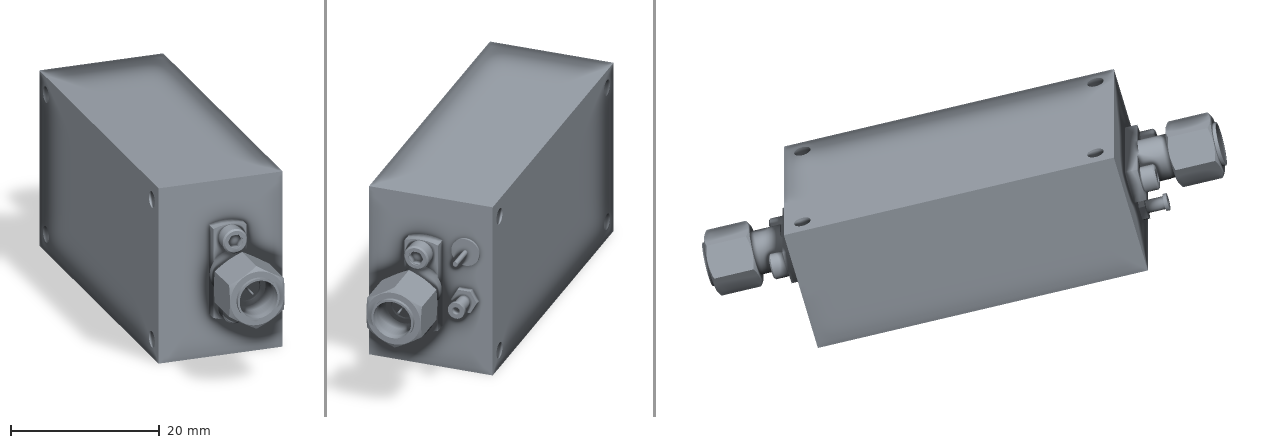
import cadquery as cq
import math

OVERALL_LENGTH = 71.5
HOUSING_LENGTH = 45.95
HOUSING_DEPTH = 17.8
HOUSING_HEIGHT = 25.4
MOUNT_HOLE_DIAMETER = 2.3
MOUNT_HOLE_INSET = 2.6

CONNECTOR_Y = 0.7
CONNECTOR_REACH = (OVERALL_LENGTH - HOUSING_LENGTH) / 2
FLANGE_THICKNESS = 1.7
FLANGE_WIDTH = 4.8
FLANGE_ROUND_DIAMETER = 13.7
BARREL_DIAMETER = 6.0
FOOT_LENGTH = 0.2
NUT_START = 6.0
NUT_END = 12.3
NUT_ACROSS_FLATS = 7.85
NUT_FACE_DIAMETER = 7.7
NUT_CHAMFER_ANGLE = 30.0
BORE_DIAMETER = 5.4
BORE_DEPTH = 4.65
RECESS_DIAMETER = 3.9
RECESS_DEPTH = 0.35
CONTACT_DIAMETER = 0.3

SCREW_SPACING = 10.15
SCREW_HEAD_DIAMETER = 3.5
SCREW_HEAD_HEIGHT = 2.15
SCREW_HEAD_CHAMFER = 0.2
SCREW_KEY_ACROSS_FLATS = 1.8
SCREW_MOUTH_DEPTH = 0.15
SCREW_KEY_DEPTH = 1.1

TERMINAL_Y = -5.1
PIN_Z = 5.35
PIN_DIAMETER = 0.7
PIN_LENGTH = 4.15
PIN_DISC_DIAMETER = 4.0
PIN_DISC_THICKNESS = 0.35
GROUND_Z = -1.8
GROUND_LENGTH = 3.85
GROUND_NUT_ACROSS_FLATS = 3.2
GROUND_NUT_THICKNESS = 0.85
GROUND_POST_DIAMETER = 1.8
GROUND_HEAD_DIAMETER = 2.35
GROUND_HEAD_THICKNESS = 0.5
GROUND_HOLE_DIAMETER = 1.1
GROUND_HOLE_DEPTH = 1.0


def end_plane(side, distance, y=0.0, z=0.0):
    """Plane facing outward, a given distance outside the +X (side 1) or -X (side -1) end face."""
    x = side * (HOUSING_LENGTH / 2 + distance)
    return cq.Plane(origin=(x, y, z), xDir=(0, 1, 0), normal=(side, 0, 0))


def disc(plane, diameter, length):
    return cq.Workplane(plane).circle(diameter / 2).extrude(length)


def across_corners(across_flats):
    """Corner-to-corner size of a hexagon."""
    return across_flats / math.cos(math.pi / 6)


def hexagon(plane, across_flats, length):
    """Hexagonal prism with two corners along the plane's local x, which is Y."""
    return cq.Workplane(plane).polygon(6, across_corners(across_flats)).extrude(length)


def make_housing():
    hole_spacing_x = HOUSING_LENGTH - 2 * MOUNT_HOLE_INSET
    hole_spacing_z = HOUSING_HEIGHT - 2 * MOUNT_HOLE_INSET
    return (
        cq.Workplane("XY")
        .box(HOUSING_LENGTH, HOUSING_DEPTH, HOUSING_HEIGHT)
        .faces("<Y")
        .workplane(centerOption="CenterOfBoundBox")
        .rarray(hole_spacing_x, hole_spacing_z, 2, 2)
        .hole(MOUNT_HOLE_DIAMETER)
    )


def make_coupling_nut(side):
    """Hexagonal nut with its corners along Z, both ends turned to a chamfer."""
    plane = end_plane(side, NUT_START, CONNECTOR_Y)
    length = NUT_END - NUT_START
    nut = hexagon(plane, NUT_ACROSS_FLATS, length).rotate(
        (0, CONNECTOR_Y, 0), (1, CONNECTOR_Y, 0), 90
    )
    outer = across_corners(NUT_ACROSS_FLATS) / 2
    face = NUT_FACE_DIAMETER / 2
    chamfer_length = (outer - face) * math.tan(math.radians(NUT_CHAMFER_ANGLE))
    near_face = side * (HOUSING_LENGTH / 2 + NUT_START)
    far_face = side * (HOUSING_LENGTH / 2 + NUT_END)
    turned = (
        cq.Workplane("XY", origin=(0, CONNECTOR_Y, 0))
        .moveTo(near_face, 0)
        .lineTo(near_face, face)
        .lineTo(near_face + side * chamfer_length, outer)
        .lineTo(far_face - side * chamfer_length, outer)
        .lineTo(far_face, face)
        .lineTo(far_face, 0)
        .close()
        .revolve(360, (0, 0, 0), (1, 0, 0))
    )
    return nut.intersect(turned)


def make_connector(side):
    """Flange, barrel, coupling nut and the bore with its centre contact."""
    base = end_plane(side, 0, CONNECTOR_Y)
    flange_blank = disc(base, FLANGE_ROUND_DIAMETER, FLANGE_THICKNESS)
    flange = flange_blank.intersect(
        cq.Workplane(base).rect(FLANGE_WIDTH, FLANGE_ROUND_DIAMETER).extrude(FLANGE_THICKNESS)
    )
    foot_plane = end_plane(side, FLANGE_THICKNESS, CONNECTOR_Y)
    foot = disc(foot_plane, BARREL_DIAMETER, FOOT_LENGTH).intersect(
        cq.Workplane(foot_plane).rect(FLANGE_WIDTH, BARREL_DIAMETER).extrude(FOOT_LENGTH)
    )
    barrel_start = FLANGE_THICKNESS + FOOT_LENGTH
    barrel = disc(
        end_plane(side, barrel_start, CONNECTOR_Y), BARREL_DIAMETER, CONNECTOR_REACH - barrel_start
    )
    bore_floor = CONNECTOR_REACH - BORE_DEPTH
    bore = disc(end_plane(side, bore_floor, CONNECTOR_Y), BORE_DIAMETER, BORE_DEPTH)
    recess_floor = end_plane(side, bore_floor - RECESS_DEPTH, CONNECTOR_Y)
    recess = disc(recess_floor, RECESS_DIAMETER, RECESS_DEPTH)
    contact = disc(recess_floor, CONTACT_DIAMETER, RECESS_DEPTH + BORE_DEPTH / 2)
    return (
        flange.union(foot)
        .union(barrel)
        .union(make_coupling_nut(side))
        .cut(bore)
        .cut(recess)
        .union(contact)
    )


def make_screw(side, z):
    """Cap screw head seated on a connector flange, with a hexagonal key socket and a round mouth."""
    head = disc(
        end_plane(side, FLANGE_THICKNESS, CONNECTOR_Y, z), SCREW_HEAD_DIAMETER, SCREW_HEAD_HEIGHT
    )
    head = head.faces("<X or >X").chamfer(SCREW_HEAD_CHAMFER)
    key_floor = FLANGE_THICKNESS + SCREW_HEAD_HEIGHT - SCREW_KEY_DEPTH
    key = hexagon(
        end_plane(side, key_floor, CONNECTOR_Y, z), SCREW_KEY_ACROSS_FLATS, SCREW_KEY_DEPTH
    )
    mouth_floor = end_plane(
        side, FLANGE_THICKNESS + SCREW_HEAD_HEIGHT - SCREW_MOUTH_DEPTH, CONNECTOR_Y, z
    )
    mouth = disc(mouth_floor, across_corners(SCREW_KEY_ACROSS_FLATS), SCREW_MOUTH_DEPTH)
    return head.cut(key).cut(mouth)


def make_feedthrough_pin():
    plane = end_plane(-1, 0, TERMINAL_Y, PIN_Z)
    return disc(plane, PIN_DISC_DIAMETER, PIN_DISC_THICKNESS).union(
        disc(plane, PIN_DIAMETER, PIN_LENGTH)
    )


def make_ground_terminal():
    base = end_plane(-1, 0, TERMINAL_Y, GROUND_Z)
    head_plane = end_plane(-1, GROUND_LENGTH - GROUND_HEAD_THICKNESS, TERMINAL_Y, GROUND_Z)
    hole_floor = end_plane(-1, GROUND_LENGTH - GROUND_HOLE_DEPTH, TERMINAL_Y, GROUND_Z)
    return (
        hexagon(base, GROUND_NUT_ACROSS_FLATS, GROUND_NUT_THICKNESS)
        .union(disc(base, GROUND_POST_DIAMETER, GROUND_LENGTH))
        .union(disc(head_plane, GROUND_HEAD_DIAMETER, GROUND_HEAD_THICKNESS))
        .cut(disc(hole_floor, GROUND_HOLE_DIAMETER, GROUND_HOLE_DEPTH))
    )


ends = (-1, 1)
housing = make_housing()
connectors = [make_connector(side) for side in ends]
screws = [make_screw(side, end * SCREW_SPACING / 2) for side in ends for end in (-1, 1)]
feedthrough_pin = make_feedthrough_pin()
ground_terminal = make_ground_terminal()

result = cq.Compound.makeCompound(
    [
        housing.val(),
        *[connector.val() for connector in connectors],
        *[screw.val() for screw in screws],
        feedthrough_pin.val(),
        ground_terminal.val(),
    ]
)